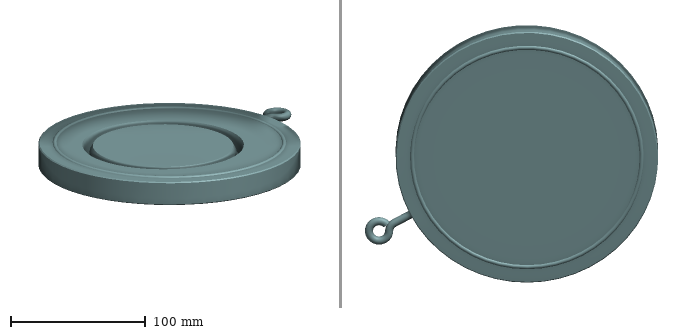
import cadquery as cq
import math

body_diameter = 195.0
body_thickness = 18.0
body_edge_chamfer = 0.8
body_top = body_thickness / 2

seal_cord_diameter = 3.6
seal_centre_diameter = 170.5
seal_protrusion = 0.9
seal_plane = body_top + seal_protrusion - seal_cord_diameter / 2

recess_centre_y = -7.5
recess_mouth_diameter = 120.0
recess_floor_diameter = 112.0
recess_depth = body_thickness / 2
recess_floor = body_top - recess_depth

flap_diameter = 109.0
flap_thickness = 8.4
flap_bevel_width = 2.3
flap_bevel_height = 4.0

rod_diameter = 6.0
ring_centre_radius = 7.5
ring_centre_y = 125.0
bend_radius = ring_centre_radius
rod_embedment = 10.0
ring_start_angle = -60.0
ring_end_angle = 255.0


def make_body():
    return (
        cq.Workplane("XY", origin=(0, 0, -body_thickness / 2))
        .circle(body_diameter / 2)
        .extrude(body_thickness)
        .edges()
        .chamfer(body_edge_chamfer)
    )


def make_seal(height):
    seal = cq.Solid.makeTorus(seal_centre_diameter / 2, seal_cord_diameter / 2)
    return cq.Workplane(seal.translate(cq.Vector(0, 0, height)))


def make_recess():
    cone = cq.Solid.makeCone(
        recess_floor_diameter / 2,
        recess_mouth_diameter / 2,
        recess_depth,
        pnt=cq.Vector(0, recess_centre_y, recess_floor),
    )
    return cq.Workplane(cone)


def make_flap():
    radius = flap_diameter / 2
    half_profile = [
        (0, 0),
        (radius, 0),
        (radius, flap_thickness - flap_bevel_height),
        (radius - flap_bevel_width, flap_thickness),
        (0, flap_thickness),
    ]
    return (
        cq.Workplane("XZ")
        .polyline(half_profile)
        .close()
        .revolve(360, (0, 0), (0, 1))
        .translate((0, recess_centre_y, recess_floor))
    )


def point_on_ring(angle_degrees):
    angle = math.radians(angle_degrees)
    x = ring_centre_radius * math.cos(angle)
    y = ring_centre_y + ring_centre_radius * math.sin(angle)
    return x, y


def make_lifting_eye():
    centre_distance = ring_centre_radius + bend_radius
    bend_start_y = ring_centre_y - math.sqrt(centre_distance**2 - bend_radius**2)
    rod_start_y = body_diameter / 2 - rod_embedment
    ring_middle_angle = (ring_start_angle + ring_end_angle) / 2

    path = (
        cq.Workplane("XY")
        .moveTo(0, rod_start_y)
        .lineTo(0, bend_start_y)
        .tangentArcPoint(point_on_ring(ring_start_angle), relative=False)
    )
    stem = (
        cq.Workplane("XZ", origin=(0, rod_start_y, 0))
        .circle(rod_diameter / 2)
        .sweep(path)
    )
    ring_start_x, ring_start_y = point_on_ring(ring_start_angle)
    ring_path = (
        cq.Workplane("XY")
        .moveTo(ring_start_x, ring_start_y)
        .threePointArc(point_on_ring(ring_middle_angle), point_on_ring(ring_end_angle))
    )
    start_heading = math.radians(ring_start_angle + 90)
    ring_start_plane = cq.Plane(
        origin=(ring_start_x, ring_start_y, 0),
        xDir=(0, 0, 1),
        normal=(math.cos(start_heading), math.sin(start_heading), 0),
    )
    ring = cq.Workplane(ring_start_plane).circle(rod_diameter / 2).sweep(ring_path)
    return stem.union(ring)


result = make_body().cut(make_recess()).union(make_flap())
for seal_height in (seal_plane, -seal_plane):
    result = result.union(make_seal(seal_height))
result = result.union(make_lifting_eye())